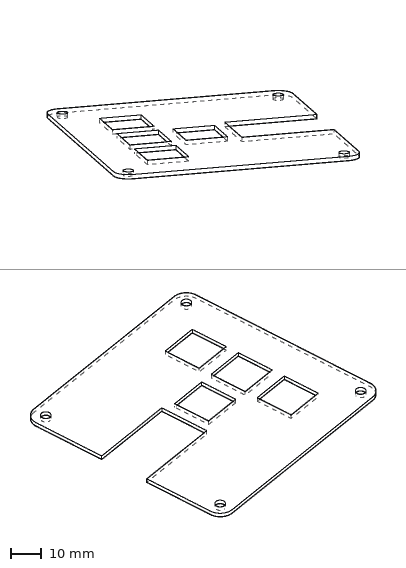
import cadquery as cq

plate_width = 82.0
plate_length = 83.0
plate_thickness = 1.5
corner_radius = 5.0

mount_hole_diameter = 3.4

key_size = 14.0
key_pitch = 19.0
key_row_y = -20.0

notch_width = 18.6
notch_depth = 31.2
notch_center_x = -0.3


def make_plate():
    """Flat plate with rounded corners, resting on Z = 0."""
    blank = cq.Workplane("XY").rect(plate_width, plate_length).extrude(plate_thickness)
    return blank.edges("|Z").fillet(corner_radius)


def make_mount_holes():
    """Four through-hole cutters at the corner centres."""
    spacing_x = plate_width - 2 * corner_radius
    spacing_y = plate_length - 2 * corner_radius
    corners = cq.Workplane("XY").rect(spacing_x, spacing_y, forConstruction=True).vertices()
    return corners.circle(mount_hole_diameter / 2).extrude(plate_thickness)


def make_key_openings():
    """Four square through cutters in an inverted-T arrangement."""
    centers = [(column * key_pitch, key_row_y) for column in (-1, 0, 1)]
    centers.append((0, key_row_y + key_pitch))
    return cq.Workplane("XY").pushPoints(centers).rect(key_size, key_size).extrude(plate_thickness)


def make_notch():
    """Through cutter for the notch in the +Y edge."""
    notch_center_y = plate_length / 2 - notch_depth / 2
    outline = cq.Workplane("XY").center(notch_center_x, notch_center_y).rect(notch_width, notch_depth)
    return outline.extrude(plate_thickness)


result = make_plate().cut(make_mount_holes()).cut(make_key_openings()).cut(make_notch())